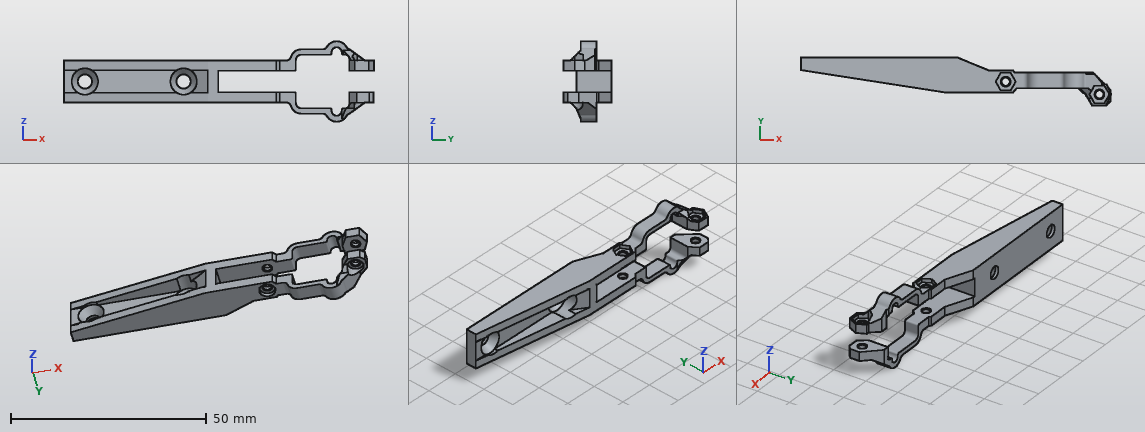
import cadquery as cq
import math

LENGTH = 79.6
HALF_HEIGHT = 5.4
SLOT_HALF_HEIGHT = 2.7
SLOT_START = 39.6
BACK_Y = 12.3
TIP_Y = 9.1
FRONT_Y = 3.35
TAPER_END = 36.9
BACK_SLOPE_START = 40.2
BACK_SLOPE_END = 48.3
ARM_BACK_Y = 9.0
ARM_CORNER_X = 54.4
ARM_POINT_X = 56.8

GROOVE_HALF_HEIGHT = 2.95
GROOVE_RAMP_START = 28.5
SCREW_XS = (5.4, 30.7)
SCREW_HOLE_DIAMETER = 3.6
SCREW_HEAD_DIAMETER = 6.8
SCREW_CONE_DEPTH = 2.3

STRIP_FRONT_Y = 4.4
STRIP_BACK_Y = 8.5
STRIP_START = 52.5
STRIP_INNER_Z = 6.85
STRIP_THICKNESS = 1.4
STRIP_OUTER_Z = STRIP_INNER_Z + STRIP_THICKNESS
STEP_X = 60.9
STEP_INNER_RADIUS = 1.35
STEP_OUTER_RADIUS = STEP_INNER_RADIUS + STRIP_THICKNESS
STEP_Z = STRIP_INNER_Z - STEP_INNER_RADIUS
BUMP_X = 69.95
BUMP_Z = 7.5
BUMP_INNER_RADIUS = 1.3
BUMP_OUTER_RADIUS = 2.9
BEND_RADIUS = 1.3
CORNER_RADIUS = 0.5
SLOPE_START_ANGLE = -110.0
SLOPE_END_X = 77.2

PAD_LEFT = 73.1
PAD_ROOT_RADIUS = 0.95
BRACE_START_X = 71.6

UPPER_PAD_OUTLINE = [
    (BRACE_START_X, STRIP_FRONT_Y),
    (PAD_LEFT, 2.7),
    (74.6, 0),
    (78.1, 0),
    (LENGTH, 2.9),
    (78.4, 5.5),
    (77.5, 5.5),
    (75.35, 8.0),
    (73.3, 8.0),
    (72.8, STRIP_BACK_Y),
    (BRACE_START_X, STRIP_BACK_Y),
]
LOWER_PAD_OUTLINE = [
    (BUMP_X + BUMP_INNER_RADIUS, STRIP_FRONT_Y),
    (PAD_LEFT, 2.5),
    (75.0, 0),
    (78.3, 0),
    (79.4, 1.1),
    (79.4, 4.0),
    (74.9, STRIP_BACK_Y),
    (BRACE_START_X, STRIP_BACK_Y),
]

UPPER_BRACE_EDGE = [(1.8, HALF_HEIGHT), (STRIP_FRONT_Y, 7.95)]
LOWER_BRACE_EDGE = [(1.8, HALF_HEIGHT), (3.3, 6.85), (STRIP_FRONT_Y, 9.5)]

CLAMP_SCREWS = ((52.5, 6.1), (76.55, 2.9))
CLAMP_HOLE_DIAMETER = 2.1
CLAMP_HOLE_CHAMFER = 0.2
CLAMP_HEAD_DIAMETER = 4.2
NUT_ACROSS_FLATS = 4.45
RECESS_DEPTH = 1.1
CUT_HEIGHT = 15.9


def polar(center_x, center_z, radius, degrees):
    """Point on a circle in the XZ plane."""
    angle = math.radians(degrees)
    return (center_x + radius * math.cos(angle), center_z + radius * math.sin(angle))


def bend_between(line_z, center_x, center_z, radius):
    """Concave bend from a horizontal line to a circle on its right: start, middle and end points."""
    rise = line_z + BEND_RADIUS - center_z
    reach = radius + BEND_RADIUS
    bend_x = center_x - math.sqrt(reach**2 - rise**2)
    bend_z = line_z + BEND_RADIUS
    end_angle = math.degrees(math.atan2(center_z - bend_z, center_x - bend_x))
    middle = polar(bend_x, bend_z, BEND_RADIUS, (end_angle - 90) / 2)
    end = polar(bend_x, bend_z, BEND_RADIUS, end_angle)
    return (bend_x, line_z), middle, end


def handle():
    """Tapered bar with the slot between its arms and the ramped groove in its front."""
    outline = [
        (0, TIP_Y),
        (TAPER_END, FRONT_Y),
        (ARM_CORNER_X, FRONT_Y),
        (ARM_POINT_X, (FRONT_Y + ARM_BACK_Y) / 2),
        (ARM_CORNER_X, ARM_BACK_Y),
        (BACK_SLOPE_END, ARM_BACK_Y),
        (BACK_SLOPE_START, BACK_Y),
        (0, BACK_Y),
    ]
    body = cq.Workplane("XY").polyline(outline).close().extrude(HALF_HEIGHT, both=True)
    slot = cq.Workplane("XY").box(
        LENGTH - SLOT_START, BACK_Y, 2 * SLOT_HALF_HEIGHT, centered=(False, False, True)
    )
    groove = (
        cq.Workplane("XY")
        .polyline([(0, TIP_Y), (GROOVE_RAMP_START, TIP_Y), (TAPER_END, FRONT_Y), (0, FRONT_Y)])
        .close()
        .extrude(GROOVE_HALF_HEIGHT, both=True)
    )
    return body.cut(slot.translate((SLOT_START, 0, 0))).cut(groove)


def mounting_screw_cut(x):
    """Through hole with a conical seat and head clearance toward -Y, revolved about its own axis."""
    head_radius = SCREW_HEAD_DIAMETER / 2
    hole_radius = SCREW_HOLE_DIAMETER / 2
    seat_y = TIP_Y + SCREW_CONE_DEPTH
    half_section = [
        (0, 0),
        (head_radius, 0),
        (head_radius, TIP_Y),
        (hole_radius, seat_y),
        (hole_radius, BACK_Y),
        (0, BACK_Y),
    ]
    cutter = cq.Workplane("XY").polyline(half_section).close().revolve(360, (0, 0), (0, 1))
    return cutter.translate((x, 0, 0))


def strip_profile():
    """Closed XZ outline of the upper arm end, strip, bump and pad."""
    inner_left = STEP_X - STEP_INNER_RADIUS
    bump_left = BUMP_X - BUMP_INNER_RADIUS
    bump_right = BUMP_X + BUMP_INNER_RADIUS
    root_x = PAD_LEFT - PAD_ROOT_RADIUS
    root_z = STRIP_INNER_Z - PAD_ROOT_RADIUS
    step_bend = bend_between(HALF_HEIGHT, STEP_X, STEP_Z, STEP_OUTER_RADIUS)
    bump_bend = bend_between(STRIP_OUTER_Z, BUMP_X, BUMP_Z, BUMP_OUTER_RADIUS)
    step_middle = polar(STEP_X, STEP_Z, STEP_OUTER_RADIUS, 135)
    bump_top = (BUMP_X, BUMP_Z + BUMP_OUTER_RADIUS)
    right_bend_x = 2 * BUMP_X - bump_bend[0][0]
    right_bend_z = STRIP_OUTER_Z + BEND_RADIUS
    right_bend_start = (2 * BUMP_X - bump_bend[2][0], bump_bend[2][1])
    right_bend_angle = math.degrees(
        math.atan2(right_bend_start[1] - right_bend_z, right_bend_start[0] - right_bend_x)
    )
    middle_angle = (right_bend_angle + SLOPE_START_ANGLE) / 2
    right_bend_middle = polar(right_bend_x, right_bend_z, BEND_RADIUS, middle_angle)
    slope_start = polar(right_bend_x, right_bend_z, BEND_RADIUS, SLOPE_START_ANGLE)
    nub_corner = (bump_right + CORNER_RADIUS, STRIP_INNER_Z + CORNER_RADIUS)
    bump_corner = (bump_left - CORNER_RADIUS, STRIP_INNER_Z + CORNER_RADIUS)
    arm_corner = (inner_left - CORNER_RADIUS, SLOT_HALF_HEIGHT + CORNER_RADIUS)
    return (
        cq.Workplane("XZ")
        .moveTo(STRIP_START, HALF_HEIGHT)
        .lineTo(*step_bend[0])
        .threePointArc(*step_bend[1:])
        .threePointArc(step_middle, (STEP_X, STRIP_OUTER_Z))
        .lineTo(*bump_bend[0])
        .threePointArc(*bump_bend[1:])
        .threePointArc(bump_top, right_bend_start)
        .threePointArc(right_bend_middle, slope_start)
        .lineTo(SLOPE_END_X, HALF_HEIGHT)
        .lineTo(LENGTH, HALF_HEIGHT)
        .lineTo(LENGTH, SLOT_HALF_HEIGHT)
        .lineTo(PAD_LEFT, SLOT_HALF_HEIGHT)
        .lineTo(PAD_LEFT, root_z)
        .threePointArc(polar(root_x, root_z, PAD_ROOT_RADIUS, 45), (root_x, STRIP_INNER_Z))
        .lineTo(nub_corner[0], STRIP_INNER_Z)
        .threePointArc(polar(*nub_corner, CORNER_RADIUS, 225), (bump_right, nub_corner[1]))
        .lineTo(bump_right, BUMP_Z)
        .threePointArc((BUMP_X, BUMP_Z + BUMP_INNER_RADIUS), (bump_left, BUMP_Z))
        .lineTo(bump_left, bump_corner[1])
        .threePointArc(polar(*bump_corner, CORNER_RADIUS, 315), (bump_corner[0], STRIP_INNER_Z))
        .lineTo(STEP_X, STRIP_INNER_Z)
        .threePointArc(polar(STEP_X, STEP_Z, STEP_INNER_RADIUS, 135), (inner_left, STEP_Z))
        .lineTo(inner_left, arm_corner[1])
        .threePointArc(polar(*arm_corner, CORNER_RADIUS, 315), (arm_corner[0], SLOT_HALF_HEIGHT))
        .lineTo(STRIP_START, SLOT_HALF_HEIGHT)
        .close()
    )


def spring_end(pad_outline, brace_edge):
    """Upper strip with the given pad; the part forward of the strip is trimmed to the brace edge."""
    full_width = strip_profile().extrude(-STRIP_BACK_Y)
    strip_zone = cq.Workplane("XY").box(
        BRACE_START_X - STRIP_START, STRIP_BACK_Y - STRIP_FRONT_Y, CUT_HEIGHT, centered=False
    )
    strip_zone = strip_zone.translate((STRIP_START, STRIP_FRONT_Y, 0))
    pad_zone = cq.Workplane("XY").polyline(pad_outline).close().extrude(CUT_HEIGHT)
    above_brace = (
        cq.Workplane("YZ")
        .polyline(
            [(0, HALF_HEIGHT)] + brace_edge + [(STRIP_FRONT_Y, CUT_HEIGHT), (0, CUT_HEIGHT)]
        )
        .close()
        .extrude(LENGTH)
    )
    return full_width.intersect(strip_zone.union(pad_zone.cut(above_brace)))


def clamp_hole(recess):
    """Hole through the upper arm or pad, chamfered at both ends, with the given recess on top."""
    radius = CLAMP_HOLE_DIAMETER / 2
    wide_radius = radius + CLAMP_HOLE_CHAMFER
    floor_z = HALF_HEIGHT - RECESS_DEPTH
    half_section = [
        (0, SLOT_HALF_HEIGHT),
        (wide_radius, SLOT_HALF_HEIGHT),
        (radius, SLOT_HALF_HEIGHT + CLAMP_HOLE_CHAMFER),
        (radius, floor_z - CLAMP_HOLE_CHAMFER),
        (wide_radius, floor_z),
        (0, floor_z),
    ]
    hole = cq.Workplane("XZ").polyline(half_section).close().revolve(360, (0, 0), (0, 1))
    return hole.union(recess.extrude(CUT_HEIGHT).translate((0, 0, floor_z)))


body = handle()
for screw_x in SCREW_XS:
    body = body.cut(mounting_screw_cut(screw_x))

upper_end = spring_end(UPPER_PAD_OUTLINE, UPPER_BRACE_EDGE)
lower_end = spring_end(LOWER_PAD_OUTLINE, LOWER_BRACE_EDGE).mirror("XY")
result = body.union(upper_end).union(lower_end)

nut_hole = clamp_hole(cq.Workplane("XY").polygon(6, NUT_ACROSS_FLATS / math.cos(math.pi / 6)))
head_hole = clamp_hole(cq.Workplane("XY").circle(CLAMP_HEAD_DIAMETER / 2)).mirror("XY")
for clamp_x, clamp_y in CLAMP_SCREWS:
    result = result.cut(nut_hole.translate((clamp_x, clamp_y, 0)))
    result = result.cut(head_hole.translate((clamp_x, clamp_y, 0)))